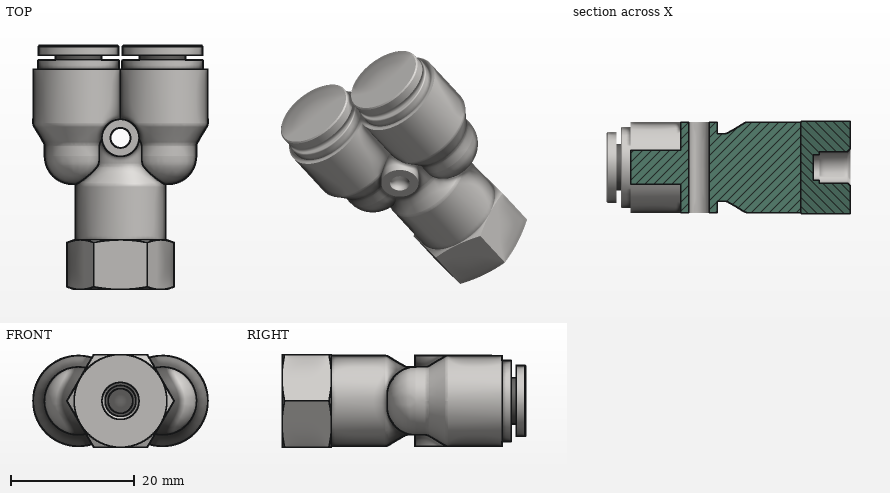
import cadquery as cq
import math


branch_spacing = 13.6
shell_dia = 14.7
neck_dia = 11.0
nut_across_flats = 15.0

nut_end = 8.0
nose_end = 17.0
neck_start = 20.05
nose_tangent = 21.55
shoulder_start = 23.5
shoulder_end = 26.6
housing_end = 35.6
collar_end = 37.1
flange_start = 37.85
overall_length = 39.45

shoulder_length = shoulder_end - shoulder_start
shoulder_fillet = 1.0
edge_tolerance = 0.01
nose_radius = nose_tangent - nose_end

boss_dia = 6.0
boss_hole_dia = 3.2
boss_y = 24.5

nut_chamfer_angle = 20.0
nut_bore_dia = 5.0
nut_bore_depth = 5.0
inner_bore_dia = 4.0
inner_bore_depth = 6.0
countersink_dia = 6.0
countersink_depth = (countersink_dia - nut_bore_dia) / 2

collar_dia = 13.15
collar_fillet = 0.2
ring_tube_dia = 7.5
flange_width = 13.0
flange_height = 11.5
flange_chamfer = 0.2

branch_positions = [-branch_spacing / 2, branch_spacing / 2]
shell_radius = shell_dia / 2
neck_radius = neck_dia / 2


def y_cylinder(diameter, start, end, x):
    """Cylinder along Y between two stations."""
    return (
        cq.Workplane("XZ", origin=(x, start, 0))
        .circle(diameter / 2)
        .extrude(start - end)
    )


def revolve_about_y(outline):
    """Close a (radius, Y) outline and revolve it about the Y axis."""
    return outline.close().revolve(360, (0, 0, 0), (0, 1, 0))


def round_shoulder(body, stations):
    """Round the circular edges at the ends of a conical shoulder."""
    for station in stations:
        edge_box = cq.selectors.BoxSelector(
            (-shell_dia, station - edge_tolerance, -shell_dia),
            (shell_dia, station + edge_tolerance, shell_dia),
            boundingbox=True,
        )
        body = body.edges(edge_box).fillet(shoulder_fillet)
    return body


def make_branch(x):
    """Wide shell with a conical shoulder down to a narrow part with a rounded nose."""
    flat_radius = neck_radius - nose_radius
    diagonal = nose_radius * math.sqrt(0.5)
    outline = (
        cq.Workplane("XY")
        .moveTo(0, nose_end)
        .lineTo(flat_radius, nose_end)
        .threePointArc((flat_radius + diagonal, nose_tangent - diagonal), (neck_radius, nose_tangent))
        .lineTo(neck_radius, shoulder_start)
        .lineTo(shell_radius, shoulder_end)
        .lineTo(shell_radius, housing_end)
        .lineTo(0, housing_end)
    )
    branch = round_shoulder(revolve_about_y(outline), [shoulder_start, shoulder_end])
    return branch.translate((x, 0, 0))


def make_port():
    """Single port tube with a conical shoulder up to the neck between the branches."""
    shoulder_base = neck_start - shoulder_length
    outline = (
        cq.Workplane("XY")
        .moveTo(0, nut_end)
        .lineTo(shell_radius, nut_end)
        .lineTo(shell_radius, shoulder_base)
        .lineTo(neck_radius, neck_start)
        .lineTo(neck_radius, shoulder_end)
        .lineTo(0, shoulder_end)
    )
    return round_shoulder(revolve_about_y(outline), [shoulder_base, neck_start])


def make_housing():
    """Y-shaped housing with a cross boss and a through hole."""
    housing = make_port()
    for x in branch_positions:
        housing = housing.union(make_branch(x))
    boss = cq.Workplane("XY").center(0, boss_y).circle(boss_dia / 2).extrude(shell_radius, both=True)
    hole = cq.Workplane("XY").center(0, boss_y).circle(boss_hole_dia / 2).extrude(shell_dia, both=True)
    return housing.union(boss).cut(hole)


def make_nut():
    """Hexagon with both ends turned to a shallow cone, and a stepped blind bore."""
    corner_radius = nut_across_flats / math.sqrt(3)
    face_radius = nut_across_flats / 2
    chamfer = (corner_radius - face_radius) * math.tan(math.radians(nut_chamfer_angle))
    hexagon = (
        cq.Workplane("XZ")
        .polygon(6, 2 * corner_radius)
        .extrude(-nut_end)
    )
    turned = revolve_about_y(
        cq.Workplane("XY")
        .moveTo(0, 0)
        .lineTo(face_radius, 0)
        .lineTo(corner_radius, chamfer)
        .lineTo(corner_radius, nut_end - chamfer)
        .lineTo(face_radius, nut_end)
        .lineTo(0, nut_end)
    )
    bore = revolve_about_y(
        cq.Workplane("XY")
        .moveTo(0, 0)
        .lineTo(countersink_dia / 2, 0)
        .lineTo(nut_bore_dia / 2, countersink_depth)
        .lineTo(nut_bore_dia / 2, nut_bore_depth)
        .lineTo(inner_bore_dia / 2, nut_bore_depth)
        .lineTo(inner_bore_dia / 2, inner_bore_depth)
        .lineTo(0, inner_bore_depth)
    )
    return hexagon.intersect(turned).cut(bore)


def make_collar(x):
    """Round collar on the end face of a branch."""
    collar = y_cylinder(collar_dia, housing_end, collar_end, x)
    return collar.faces(">Y").edges().fillet(collar_fillet)


def make_release_ring(x):
    """Round tube stub carrying an oval push flange."""
    flange = (
        cq.Workplane("XZ", origin=(x, flange_start, 0))
        .ellipse(flange_width / 2, flange_height / 2)
        .extrude(flange_start - overall_length)
        .faces(">Y")
        .edges()
        .chamfer(flange_chamfer)
    )
    return y_cylinder(ring_tube_dia, collar_end, flange_start, x).union(flange)


housing = make_housing()
nut = make_nut()
collars = [make_collar(x) for x in branch_positions]
release_rings = [make_release_ring(x) for x in branch_positions]

result = cq.Compound.makeCompound(
    [housing.val(), nut.val()]
    + [collar.val() for collar in collars]
    + [ring.val() for ring in release_rings]
)